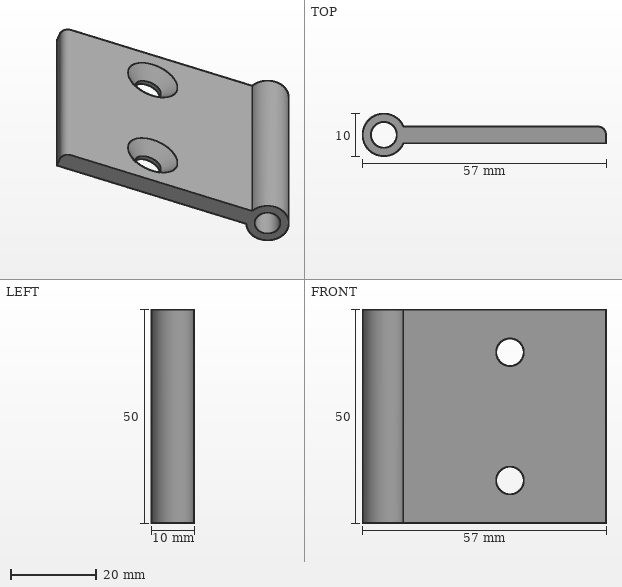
import cadquery as cq
import math

barrel_diameter = 10.0
pin_bore_diameter = 6.0
hinge_height = 50.0

overall_length = 57.0
leaf_thickness = 4.0
leaf_end_x = overall_length - barrel_diameter / 2
leaf_edge_radius = 2.0

screw_hole_diameter = 6.4
countersink_diameter = 12.4
countersink_angle = 90.0
countersink_depth = (
    (countersink_diameter - screw_hole_diameter) / 2 / math.tan(math.radians(countersink_angle / 2))
)
screw_hole_spacing = 30.0
screw_hole_x = 29.5


def make_barrel():
    return cq.Workplane("XY").circle(barrel_diameter / 2).extrude(hinge_height)


def make_leaf():
    """Plate from the barrel axis to the free end, its far +Y edge rounded."""
    leaf = cq.Workplane("XY").box(
        leaf_end_x, leaf_thickness, hinge_height, centered=(False, True, False)
    )
    return leaf.edges("|Z and >X and >Y").fillet(leaf_edge_radius)


def make_pin_bore():
    return cq.Workplane("XY").circle(pin_bore_diameter / 2).extrude(hinge_height)


def make_screw_hole_cutter(centre_z):
    """Through hole along Y that opens into a countersink on the +Y face."""
    hole_radius = screw_hole_diameter / 2
    countersink_radius = countersink_diameter / 2
    profile = (
        cq.Workplane("XY")
        .moveTo(0, -leaf_thickness / 2)
        .lineTo(hole_radius, -leaf_thickness / 2)
        .lineTo(hole_radius, leaf_thickness / 2 - countersink_depth)
        .lineTo(countersink_radius, leaf_thickness / 2)
        .lineTo(0, leaf_thickness / 2)
        .close()
    )
    cutter = profile.revolve(360, (0, 0, 0), (0, 1, 0))
    return cutter.translate((screw_hole_x, 0, centre_z))


result = make_barrel().union(make_leaf()).cut(make_pin_bore())
for side in (-1, 1):
    hole_z = hinge_height / 2 + side * screw_hole_spacing / 2
    result = result.cut(make_screw_hole_cutter(hole_z))